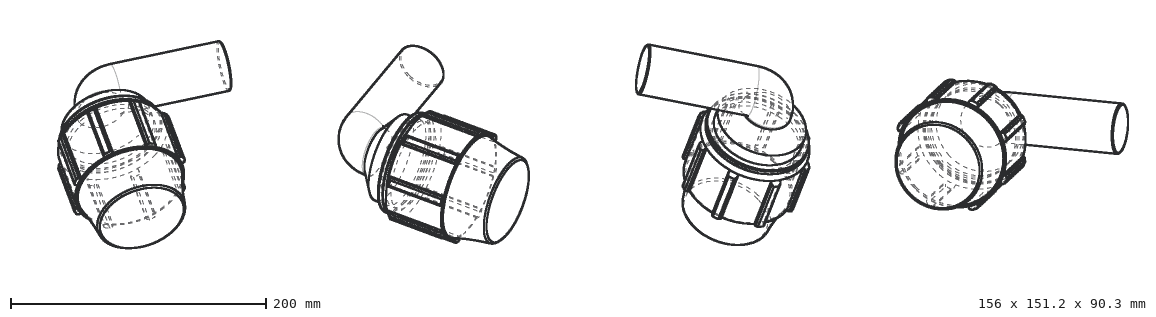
import cadquery as cq
import math

pipe_radius = 20.0
pipe_end = 106.0
pipe_chamfer = 1.0
bend_radius = 16.5

cone_start = 38.4
collar_start = 51.2
collar_radius = 36.0

flange_start = 62.4
flange_width = 4.7
flange_radius = 83.5 / 2
flange_edge_drop = 0.5
flange_front_bevel = 1.1
flange_back_bevel = 0.5

nut_start = 71.3
nut_end = 121.5
nut_radius = 44.5
nut_chamfer = 0.8

rib_count = 8
rib_outer_reach = 90.3 / 2
rib_width = 7.8
rib_edge_chamfer = 1.5
rib_embed = 1.5
rib_end = 120.7
rib_bevel = 3.3

nose_end = 156.0
nose_base_radius = 42.5
nose_mid_radius = 38.5
nose_mid = 137.3
nose_tip_radius = 35.7
nose_bevel = 1.5


def cylinder(start, end, radius):
    """Solid cylinder on the socket axis."""
    return cq.Workplane("YZ", origin=(start, 0, 0)).circle(radius).extrude(end - start)


def make_pipe():
    length = pipe_end - bend_radius
    pipe = cq.Workplane("XZ", origin=(pipe_radius, pipe_end, 0)).circle(pipe_radius).extrude(length)
    return pipe.faces(">Y").chamfer(pipe_chamfer)


def make_bend():
    """Quarter turn of the pipe section, trimmed at the bend axis that lies inside it."""
    bend_axis_x = pipe_radius + bend_radius
    half_chord = math.sqrt(pipe_radius**2 - bend_radius**2)
    return (
        cq.Workplane("XZ", origin=(bend_axis_x, bend_radius, 0))
        .moveTo(0, -half_chord)
        .threePointArc((-bend_radius - pipe_radius, 0), (0, half_chord))
        .close()
        .revolve(90, (0, 0, 0), (0, 1, 0))
    )


def make_socket():
    """Neck, cone and collar, with the flange ring around the collar."""
    socket = (
        cq.Workplane("XY")
        .moveTo(pipe_radius + bend_radius, 0)
        .lineTo(pipe_radius + bend_radius, pipe_radius)
        .lineTo(cone_start, pipe_radius)
        .lineTo(collar_start, collar_radius)
        .lineTo(nut_start, collar_radius)
        .lineTo(nut_start, 0)
        .close()
        .revolve(360, (0, 0, 0), (1, 0, 0))
    )
    flange_end = flange_start + flange_width
    flange_edge_radius = flange_radius - flange_edge_drop
    flange = (
        cq.Workplane("XY")
        .moveTo(flange_start, 0)
        .lineTo(flange_start, flange_edge_radius)
        .lineTo(flange_start + flange_front_bevel, flange_radius)
        .lineTo(flange_end - flange_back_bevel, flange_radius)
        .lineTo(flange_end, flange_edge_radius)
        .lineTo(flange_end, 0)
        .close()
        .revolve(360, (0, 0, 0), (1, 0, 0))
    )
    return socket.union(flange)


def make_nut():
    """Nut barrel and the slightly hollow-curved nose that narrows to the mouth."""
    barrel = cylinder(nut_start, nut_end, nut_radius).faces(">X").chamfer(nut_chamfer)
    nose = (
        cq.Workplane("XY")
        .moveTo(nut_end, 0)
        .lineTo(nut_end, nose_base_radius)
        .threePointArc((nose_mid, nose_mid_radius), (nose_end, nose_tip_radius))
        .lineTo(nose_end, 0)
        .close()
        .revolve(360, (0, 0, 0), (1, 0, 0))
        .faces(">X")
        .chamfer(nose_bevel)
    )
    return barrel.union(nose)


def make_ribs():
    """Grip ribs with chamfered tops and bevelled front ends, half a step off the Y and Z axes."""
    step = 360 / rib_count
    half_step = math.radians(step / 2)
    rib_top_width = rib_width - 2 * rib_edge_chamfer
    top_radius = (rib_outer_reach - rib_top_width / 2 * math.sin(half_step)) / math.cos(half_step)
    shoulder_radius = top_radius - rib_edge_chamfer
    root_radius = nut_radius - rib_embed
    rib = (
        cq.Workplane("YZ", origin=(nut_start, 0, 0))
        .moveTo(root_radius, -rib_width / 2)
        .lineTo(shoulder_radius, -rib_width / 2)
        .lineTo(top_radius, -rib_top_width / 2)
        .lineTo(top_radius, rib_top_width / 2)
        .lineTo(shoulder_radius, rib_width / 2)
        .lineTo(root_radius, rib_width / 2)
        .close()
        .extrude(rib_end - nut_start)
    )
    bevel = (
        cq.Workplane("XY")
        .moveTo(nut_start, nut_radius)
        .lineTo(nut_start + rib_bevel, top_radius)
        .lineTo(nut_start, top_radius)
        .close()
        .extrude(rib_width, both=True)
    )
    rib = rib.cut(bevel)
    ribs = cq.Workplane("XY")
    for index in range(rib_count):
        ribs = ribs.add(rib.rotate((0, 0, 0), (1, 0, 0), step * (index + 0.5)))
    return ribs.combine()


result = make_pipe().union(make_bend()).union(make_socket()).union(make_nut()).union(make_ribs())